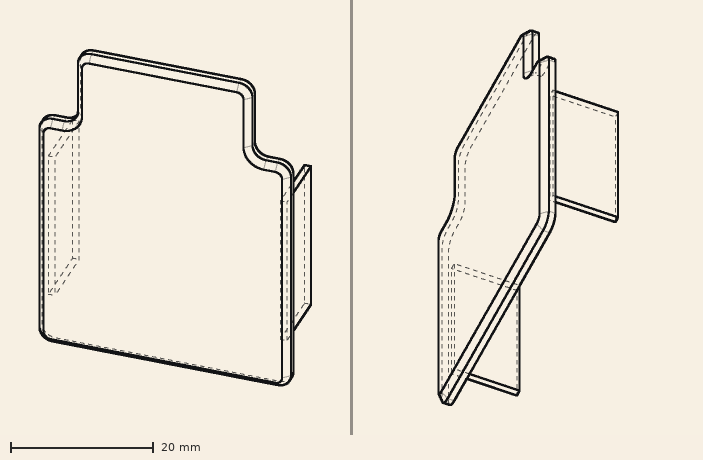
import cadquery as cq

height = 49.0
width = 37.5
depth = 12.0
plate_thickness = 2.0
neck_width = 26.0
neck_height = 12.0
corner_radius = 2.0
bevel = 1.0

wing_thickness = 1.0
wing_inset = 1.0
wing_height = 23.0
wing_bottom = 7.0

half_width = width / 2
half_neck = neck_width / 2
shoulder_z = height - neck_height


def make_plate():
    """Stepped plate with rounded corners, its front face at Y = 0."""
    outline = [
        (-half_width, 0),
        (half_width, 0),
        (half_width, shoulder_z),
        (half_neck, shoulder_z),
        (half_neck, height),
        (-half_neck, height),
        (-half_neck, shoulder_z),
        (-half_width, shoulder_z),
    ]
    plate = cq.Workplane("XZ").polyline(outline).close().extrude(-plate_thickness)
    plate = plate.edges("|Y").fillet(corner_radius)
    return plate.faces("<Y").edges().chamfer(bevel)


def make_wing(side):
    """Thin upright wing behind the plate; side is -1 or +1 along X."""
    center_x = side * (half_width - wing_inset - wing_thickness / 2)
    wing_length = depth - plate_thickness
    return (
        cq.Workplane("XY")
        .box(wing_thickness, wing_length, wing_height, centered=(True, False, False))
        .translate((center_x, plate_thickness, wing_bottom))
    )


result = make_plate()
for side in (-1, 1):
    result = result.union(make_wing(side))